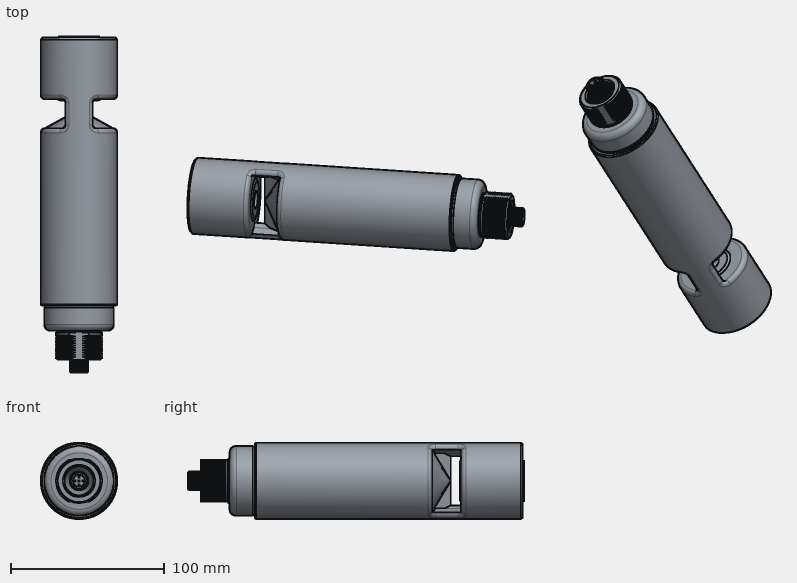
import cadquery as cq
import math


LENGTH = 219.0
TIP_Y = -LENGTH / 2
TOP_Y = LENGTH / 2
GAP_TOP_Y = 68.3
GAP_BOTTOM_Y = 49.7
BODY_BOTTOM_Y = -66.0
BASE_BOTTOM_Y = -82.4
SLEEVE_END_Y = -101.2

BODY_R = 50.0 / 2
EDGE_FILLET = 3.0
HEAD_CHAMFER = 1.3
LOWER_CHAMFER = 0.9
TOP_DISC_R = 13.1
TOP_DISC_H = 0.9
HEAD_TOP_Y = TOP_Y - TOP_DISC_H

POST_HALF_W = 9.0
POST_BACK_Z = 20.4
POST_STEP_HALF_W = 3.3
POST_STEP_Z = 18.0
POST_TIP_Z = 16.0
CORNER_FILLET = 2.0
OPENING_HALF_W = POST_HALF_W + CORNER_FILLET
CONE_R = BODY_R - EDGE_FILLET
CONE_H = 12.0
RIDGE_HALF_W = POST_HALF_W
RIDGE_HALF_L = POST_STEP_Z

OUTLET_R = 14.0
OUTLET_TIP_R = 12.0
OUTLET_H = 0.9
OUTLET_HOLE_R = 6.0
OUTLET_HOLE_DEPTH = 2.2

BASE_R = 22.8
BASE_FILLET = 4.4
NECK_R = 22.3
NECK_H = 1.3

SLEEVE_R = 15.0
SLEEVE_ROOT_R = 13.8
SLEEVE_PITCH = 1.5
SLEEVE_CHAMFER = SLEEVE_R - SLEEVE_ROOT_R
SLEEVE_FLAT_Z = 13.5
COLLAR_R = 14.5
COLLAR_H = 0.7
RELIEF_H = 0.7

BORE_R = 9.5
BORE_ROOT_R = 10.5
BORE_PITCH = 1.82
BORE_TAPER_H = 9.9

PLUG_R = 6.1
PLUG_ROOT_R = 5.5
PLUG_PITCH = 1.0
PLUG_CHAMFER = 0.9
PLUG_THREAD_L = 13.1
SOCKET_R = 4.0
SOCKET_DEPTH = 4.4
PIN_R = 0.55
PIN_CIRCLE_R = 2.6
PIN_H = 3.5
PIN_COUNT = 4

GROOVE_FILL = 0.85
TOLERANCE = 0.02


def cylinder(radius, start_y, end_y):
    """Cylinder on the Y axis."""
    return cq.Workplane("XZ", origin=(0, end_y, 0)).circle(radius).extrude(end_y - start_y)


def revolved(profile):
    """Solid of revolution about Y from (radius, y) points."""
    return cq.Workplane("XY").polyline(profile).close().revolve(360, (0, 0), (0, 1))


def thread_grooves(mouth_r, root_r, pitch, start_y, end_y):
    """(radius, y) points of the V grooves that fit between start_y and end_y, in order of rising y."""
    count = math.floor((end_y - start_y) / pitch)
    half_mouth = GROOVE_FILL * pitch / 2
    points = []
    for i in range(count):
        groove_y = start_y + (i + 0.5) * pitch
        points += [(mouth_r, groove_y - half_mouth), (root_r, groove_y), (mouth_r, groove_y + half_mouth)]
    return points


def make_column():
    """Plain column with its end chamfers."""
    column = cylinder(BODY_R, BODY_BOTTOM_Y, HEAD_TOP_Y).rotate((0, 0, 0), (0, 1, 0), 90)
    column = column.faces(">Y").edges().chamfer(HEAD_CHAMFER)
    return column.faces("<Y").edges().chamfer(LOWER_CHAMFER)


def cut_gap_sides(column):
    """Cuts both sides away down to a web as wide as the posts, with rounded inner corners."""
    depth = BODY_R - POST_HALF_W
    gap_h = GAP_TOP_Y - GAP_BOTTOM_Y
    side = cq.Workplane("XY").box(2 * depth, gap_h, 2 * BODY_R + 2.2, centered=(False, False, True))
    side = side.edges("<X and |Z").fillet(CORNER_FILLET).translate((POST_HALF_W, GAP_BOTTOM_Y, 0))
    return column.cut(side).cut(side.mirror("YZ"))


def is_gap_rim(edge):
    """True for an edge on the outer surface of the column, within the height of the gap."""
    points = [edge.positionAt(t) for t in (0, 0.5, 1)]
    on_surface = all(abs(math.hypot(p.x, p.z) - BODY_R) < TOLERANCE for p in points)
    in_gap = all(GAP_BOTTOM_Y - TOLERANCE < p.y < GAP_TOP_Y + TOLERANCE for p in points)
    return on_surface and in_gap


def round_gap_rim(column):
    rim = [edge for edge in column.edges().vals() if is_gap_rim(edge)]
    return column.newObject(rim).fillet(EDGE_FILLET)


def open_web(column):
    """Opens the web between the posts, which narrow towards the axis."""
    upper_half = [
        (-OPENING_HALF_W, POST_BACK_Z),
        (-POST_HALF_W, POST_BACK_Z),
        (-POST_STEP_HALF_W, POST_STEP_Z),
        (0, POST_TIP_Z),
        (POST_STEP_HALF_W, POST_STEP_Z),
        (POST_HALF_W, POST_BACK_Z),
        (OPENING_HALF_W, POST_BACK_Z),
    ]
    outline = upper_half + [(x, -z) for x, z in reversed(upper_half)]
    opening = cq.Workplane("XZ", origin=(0, GAP_TOP_Y, 0)).polyline(outline).close()
    return column.cut(opening.extrude(GAP_TOP_Y - GAP_BOTTOM_Y))


def make_deflector():
    """Cone and ridge that stand on the floor of the gap."""
    apex_y = GAP_BOTTOM_Y + CONE_H
    cone = revolved([(0, GAP_BOTTOM_Y), (CONE_R, GAP_BOTTOM_Y), (0, apex_y)])
    ridge = cq.Workplane("XY").polyline(
        [(-RIDGE_HALF_W, GAP_BOTTOM_Y), (RIDGE_HALF_W, GAP_BOTTOM_Y), (0, apex_y)]
    )
    return cone.union(ridge.close().extrude(RIDGE_HALF_L, both=True))


def add_outlet(column):
    """Tapered boss with a blind hole on the underside of the head."""
    tip_y = GAP_TOP_Y - OUTLET_H
    boss = revolved([(0, GAP_TOP_Y), (OUTLET_R, GAP_TOP_Y), (OUTLET_TIP_R, tip_y), (0, tip_y)])
    return column.union(boss).cut(cylinder(OUTLET_HOLE_R, tip_y, tip_y + OUTLET_HOLE_DEPTH))


def make_base():
    """Base cap with a short neck under the column."""
    neck_y = BODY_BOTTOM_Y - NECK_H
    base = cylinder(BASE_R, BASE_BOTTOM_Y, neck_y).faces("<Y").edges().fillet(BASE_FILLET)
    return base.union(cylinder(NECK_R, neck_y, BODY_BOTTOM_Y))


def make_sleeve():
    """Sleeve threaded outside and inside, its bore tapering to the plug, with a flat on its +Z and -Z sides."""
    collar_y = BASE_BOTTOM_Y - COLLAR_H
    thread_end_y = collar_y - RELIEF_H
    outside = [(SLEEVE_R - SLEEVE_CHAMFER, SLEEVE_END_Y), (SLEEVE_R, SLEEVE_END_Y + SLEEVE_CHAMFER)]
    outside += thread_grooves(
        SLEEVE_R, SLEEVE_ROOT_R, SLEEVE_PITCH, SLEEVE_END_Y + SLEEVE_CHAMFER, thread_end_y
    )
    outside += [(SLEEVE_R, thread_end_y), (SLEEVE_ROOT_R, thread_end_y), (SLEEVE_ROOT_R, collar_y)]
    outside += [(COLLAR_R, collar_y), (COLLAR_R, BASE_BOTTOM_Y)]
    taper_y = BASE_BOTTOM_Y - BORE_TAPER_H
    bore_mouth_y = SLEEVE_END_Y + BORE_ROOT_R - BORE_R
    inside = [(BORE_ROOT_R, SLEEVE_END_Y), (BORE_R, bore_mouth_y)]
    inside += thread_grooves(BORE_R, BORE_ROOT_R, BORE_PITCH, bore_mouth_y, taper_y)
    inside += [(BORE_R, taper_y), (PLUG_R, BASE_BOTTOM_Y)]
    sleeve = revolved(outside + inside[::-1])
    keep = cq.Workplane("XY").box(
        2 * SLEEVE_R, collar_y - SLEEVE_END_Y, 2 * SLEEVE_FLAT_Z, centered=(True, False, True)
    )
    keep = keep.translate((0, SLEEVE_END_Y, 0)).union(cylinder(SLEEVE_R, collar_y, BASE_BOTTOM_Y))
    return sleeve.intersect(keep)


def make_housing():
    housing = open_web(round_gap_rim(cut_gap_sides(make_column())))
    housing = add_outlet(housing.union(make_deflector()))
    housing = housing.union(cylinder(TOP_DISC_R, HEAD_TOP_Y, TOP_Y))
    return housing.union(make_base()).union(make_sleeve())


def make_plug():
    """Threaded plug standing on the floor of the bore, with contact pins in its socket."""
    thread_start_y = TIP_Y + PLUG_CHAMFER
    profile = [(0, TIP_Y), (PLUG_R - PLUG_CHAMFER, TIP_Y), (PLUG_R, thread_start_y)]
    profile += thread_grooves(
        PLUG_R, PLUG_ROOT_R, PLUG_PITCH, thread_start_y, thread_start_y + PLUG_THREAD_L
    )
    profile += [(PLUG_R, BASE_BOTTOM_Y), (0, BASE_BOTTOM_Y)]
    floor_y = TIP_Y + SOCKET_DEPTH
    plug = revolved(profile).cut(cylinder(SOCKET_R, TIP_Y, floor_y))

    pin = cylinder(PIN_R, floor_y - PIN_H, floor_y)
    plug = plug.union(pin)
    for i in range(PIN_COUNT):
        angle = 2 * math.pi * i / PIN_COUNT
        plug = plug.union(pin.translate((PIN_CIRCLE_R * math.cos(angle), 0, PIN_CIRCLE_R * math.sin(angle))))
    return plug


housing = make_housing()
plug = make_plug()

result = cq.Compound.makeCompound([housing.val(), plug.val()])